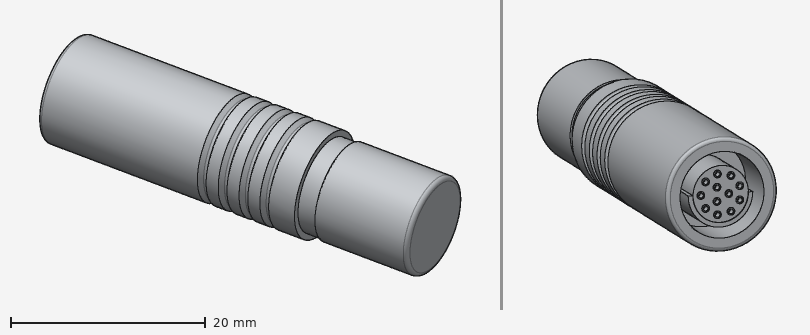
import cadquery as cq
import math

TOTAL_LENGTH = 44.0
SHELL_RADIUS = 6.0
MATING_FILLET = 0.4

GROOVE_COUNT = 4
GROOVE_FIRST_X = 19.1
GROOVE_PITCH = 2.5
GROOVE_WIDTH = 1.05
GROOVE_RAMP_LENGTH = 0.52
GROOVE_RAMP_DROP = 0.37

NECK_START_X = 30.75
NECK_END_X = 32.9
NECK_RADIUS = 5.3
NUT_RADIUS = 5.5
NUT_FILLET = 0.5

BORE_RADIUS = 4.55
BORE_DEPTH = 6.0
INSERT_RADIUS = 3.0
INSERT_RECESS = 0.4
KEY_RADIUS = 3.5
KEY_RECESS = 0.5

OUTER_CONTACT_COUNT = 9
OUTER_CONTACT_CIRCLE = 2.17
OUTER_CONTACT_START = 0.0
INNER_CONTACT_COUNT = 3
INNER_CONTACT_CIRCLE = 0.86
INNER_CONTACT_START = 180.0
CONTACT_RADIUS = 0.4
CONTACT_HEIGHT = 0.1
CONTACT_HOLE_RADIUS = 0.25
CONTACT_HOLE_DEPTH = 1.0


def axial_cylinder(radius, start_x, end_x, y=0.0, z=0.0):
    """Cylinder along X between two stations."""
    base = cq.Workplane("YZ", origin=(start_x, y, z))
    return base.circle(radius).extrude(end_x - start_x)


def make_shell():
    """Stepped outer body with the fillets on both ends."""
    body = axial_cylinder(SHELL_RADIUS, 0, NECK_START_X).faces("<X").edges().fillet(MATING_FILLET)
    neck = axial_cylinder(NECK_RADIUS, NECK_START_X, NECK_END_X)
    nut = axial_cylinder(NUT_RADIUS, NECK_END_X, TOTAL_LENGTH).faces(">X").edges().fillet(NUT_FILLET)
    return body.union(neck).union(nut)


def make_groove(start_x):
    """Ring cutter: a straight ramp that runs tangentially into a concave arc."""
    profile = (
        cq.Workplane("XY")
        .moveTo(start_x, SHELL_RADIUS)
        .lineTo(start_x + GROOVE_RAMP_LENGTH, SHELL_RADIUS - GROOVE_RAMP_DROP)
        .tangentArcPoint((start_x + GROOVE_WIDTH, SHELL_RADIUS), relative=False)
        .close()
    )
    return profile.revolve(360, (0, 0, 0), (1, 0, 0))


def make_insert():
    """Round contact insert with the lower half-round key beside it."""
    insert = axial_cylinder(INSERT_RADIUS, INSERT_RECESS, BORE_DEPTH)
    key = axial_cylinder(KEY_RADIUS, KEY_RECESS, BORE_DEPTH)
    lower_half = cq.Workplane("XY", origin=(0, 0, -KEY_RADIUS)).box(
        BORE_DEPTH, 2 * KEY_RADIUS, KEY_RADIUS, centered=(False, True, False)
    )
    return insert.union(key.intersect(lower_half))


def contact_positions():
    """Y, Z centres of the outer and inner contact circles."""
    positions = []
    for count, circle, start in (
        (OUTER_CONTACT_COUNT, OUTER_CONTACT_CIRCLE, OUTER_CONTACT_START),
        (INNER_CONTACT_COUNT, INNER_CONTACT_CIRCLE, INNER_CONTACT_START),
    ):
        for i in range(count):
            angle = math.radians(start + i * 360 / count)
            positions.append((circle * math.cos(angle), circle * math.sin(angle)))
    return positions


def add_contact(body, y, z):
    """Raise one tubular contact from the insert face and drill its socket."""
    face_x = INSERT_RECESS - CONTACT_HEIGHT
    tube = axial_cylinder(CONTACT_RADIUS, face_x, BORE_DEPTH, y, z)
    hole = axial_cylinder(CONTACT_HOLE_RADIUS, face_x, face_x + CONTACT_HOLE_DEPTH, y, z)
    return body.union(tube).cut(hole)


result = make_shell()
for groove in range(GROOVE_COUNT):
    result = result.cut(make_groove(GROOVE_FIRST_X + groove * GROOVE_PITCH))
result = result.cut(axial_cylinder(BORE_RADIUS, 0, BORE_DEPTH))
result = result.union(make_insert())
for contact_y, contact_z in contact_positions():
    result = add_contact(result, contact_y, contact_z)